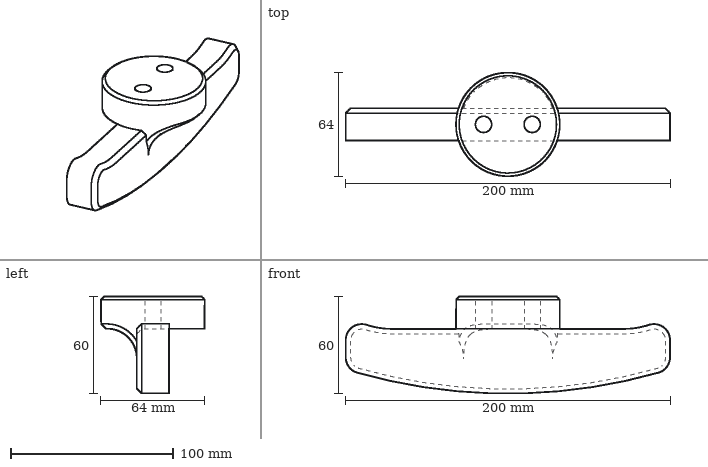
import cadquery as cq
import math

length = 200.0
height = 60.0
disc_radius = 32.0
disc_thickness = 20.0
disc_top_chamfer = 2.0
plate_thickness = 20.0
back_chamfer = 3.0

corner_radius = 10.0
tip_drop = 17.0
bottom_radius = 340.0
horn_slope = math.radians(16.0)
horn_blend_radius = 50.0
flat_half_length = 71.5

web_radius = 18.0

hole_diameter = 10.0
hole_spacing = 30.0
hole_depth = 20.0

plate_back = plate_thickness / 2
half_length = length / 2


def polar(center, radius, angle):
    """Point at an angle on a circle in the outline plane."""
    return (center[0] + radius * math.cos(angle), center[1] + radius * math.sin(angle))


def mirrored(point):
    return (-point[0], point[1])


def make_plate():
    """Handle plate with upturned horns, an arched bottom and a chamfered back rim."""
    corner_x = half_length - corner_radius
    upper_corner = (corner_x, -tip_drop - corner_radius)
    bottom_center = (0, bottom_radius - height)
    lower_corner_rise = math.sqrt((bottom_radius - corner_radius) ** 2 - corner_x ** 2)
    lower_corner = (corner_x, bottom_center[1] - lower_corner_rise)
    blend_center = (flat_half_length, horn_blend_radius - disc_thickness)

    flat_end = (flat_half_length, -disc_thickness)
    blend_mid = polar(blend_center, horn_blend_radius, -math.pi / 2 + horn_slope / 2)
    blend_end = polar(blend_center, horn_blend_radius, -math.pi / 2 + horn_slope)
    upper_angle = math.pi / 2 + horn_slope
    horn_start = polar(upper_corner, corner_radius, upper_angle)
    horn_mid = polar(upper_corner, corner_radius, upper_angle / 2)
    side_top = (half_length, upper_corner[1])
    side_bottom = (half_length, lower_corner[1])
    lower_angle = -math.atan2(lower_corner_rise, corner_x)
    lower_mid = polar(lower_corner, corner_radius, lower_angle / 2)
    lower_end = polar(lower_corner, corner_radius, lower_angle)

    return (
        cq.Workplane("XZ", origin=(0, -plate_back, 0))
        .moveTo(*mirrored(flat_end))
        .lineTo(*flat_end)
        .threePointArc(blend_mid, blend_end)
        .lineTo(*horn_start)
        .threePointArc(horn_mid, side_top)
        .lineTo(*side_bottom)
        .threePointArc(lower_mid, lower_end)
        .threePointArc((0, -height), mirrored(lower_end))
        .threePointArc(mirrored(lower_mid), mirrored(side_bottom))
        .lineTo(*mirrored(side_top))
        .threePointArc(mirrored(horn_mid), mirrored(horn_start))
        .lineTo(*mirrored(blend_end))
        .threePointArc(mirrored(blend_mid), mirrored(flat_end))
        .close()
        .extrude(-plate_thickness)
        .faces(">Y")
        .chamfer(back_chamfer)
    )


def make_column(depth):
    """Cylinder of the disc diameter hanging down from the top face."""
    return cq.Workplane("XY").circle(disc_radius).extrude(-depth)


def make_head():
    """Disc with a concave web below its back half, chamfered along the web's rim."""
    web_bottom = disc_thickness + web_radius
    arc_center = (plate_back + web_radius, -web_bottom)
    below_web = (
        cq.Workplane("YZ")
        .moveTo(plate_back, -web_bottom)
        .threePointArc(
            polar(arc_center, web_radius, math.radians(135)),
            (arc_center[0], -disc_thickness),
        )
        .lineTo(disc_radius, -disc_thickness)
        .lineTo(disc_radius, -web_bottom)
        .close()
        .extrude(disc_radius, both=True)
    )
    below_front = (
        cq.Workplane("XY")
        .box(2 * disc_radius, disc_radius, web_radius, centered=(True, False, False))
        .translate((0, -disc_radius, -web_bottom))
    )
    web_rim = cq.selectors.BoxSelector(
        (-disc_radius, plate_back, -web_bottom),
        (disc_radius, disc_radius + 2, -disc_thickness + 2),
    )
    return (
        make_column(web_bottom)
        .cut(below_web)
        .cut(below_front)
        .edges(web_rim)
        .edges("not |X")
        .chamfer(back_chamfer)
        .faces(">Z")
        .chamfer(disc_top_chamfer)
    )


def make_holes():
    return (
        cq.Workplane("XY")
        .rarray(hole_spacing, 2, 2, 1)
        .circle(hole_diameter / 2)
        .extrude(-hole_depth)
    )


result = make_plate().union(make_head()).cut(make_holes())